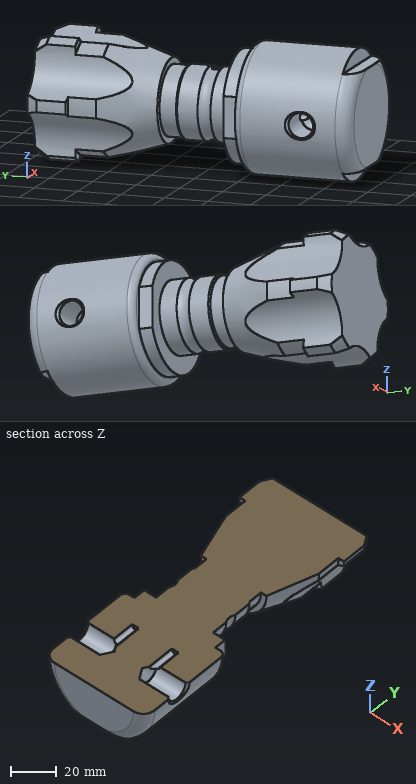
import cadquery as cq
import math

length = 149.4

body_radius = 29.4
body_front_y = 0.0
body_back_y = 53.6
front_fillet = 6.5
back_fillet = 3.1
flat_half_gap = 22.3
flat_length = 6.5

port_y = 22.7
port_diameter = 11.4
port_mouth_diameter = 13.9
port_mouth_angle = 90.0
port_depth = 17.9
drill_tip_angle = 118.0
passage_diameter = 3.5
passage_length = 12.0

nut_radius = 25.4
nut_half_width = 23.6
nut_back_y = 60.0

stem_radius = 16.7
groove_front_y = 68.4
groove_width = 6.0
groove_depth = 0.9
vent_diameter = 4.0
vent_depth = 4.5
stem_back_y = 83.8
stem_chamfer = 0.7

knob_front_y = 92.1
knob_front_radius = 19.1
knob_cone_back_y = 117.7
knob_radius = 27.2
lug_count = 6
lug_radius = 30.5
lug_front_y = 130.5
lug_chamfer_radial = 3.1
lug_chamfer_length = 5.5
flute_radius = 19.0
flute_floor_radius = 22.7


def cylinder(radius, start_y, end_y):
    """Solid cylinder on the Y axis."""
    return cq.Workplane("XZ", origin=(0, start_y, 0)).circle(radius).extrude(start_y - end_y)


def make_body():
    """Round body, stepped down to a flat at the front top and bottom."""
    body = cylinder(body_radius, body_front_y, body_back_y)
    body = body.faces("<Y").edges().fillet(front_fillet)
    body = body.faces(">Y").edges().fillet(back_fillet)
    flat_height = body_radius - flat_half_gap
    for side in (-1, 1):
        step = cq.Workplane("XY").box(2 * body_radius, flat_length, flat_height).translate(
            (0, body_front_y + flat_length / 2, side * (flat_half_gap + flat_height / 2))
        )
        body = body.cut(step)
    return body


def make_nut():
    """Round nut with two wrench flats facing X."""
    nut = cylinder(nut_radius, body_back_y, nut_back_y)
    nut_length = nut_back_y - body_back_y
    envelope = cq.Workplane("XY").box(2 * nut_half_width, nut_length, 2 * nut_radius)
    return nut.intersect(envelope.translate((0, (body_back_y + nut_back_y) / 2, 0)))


def make_stem():
    """Grooved stem with a slightly thinner neck under the knob."""
    groove_back_y = groove_front_y + groove_width
    neck_radius = stem_radius - stem_chamfer
    profile = (
        cq.Workplane("XY")
        .moveTo(0, nut_back_y)
        .lineTo(stem_radius, nut_back_y)
        .lineTo(stem_radius, groove_front_y)
        .threePointArc(
            (stem_radius - groove_depth, groove_front_y + groove_width / 2),
            (stem_radius, groove_back_y),
        )
        .lineTo(stem_radius, stem_back_y)
        .lineTo(neck_radius, stem_back_y + stem_chamfer)
        .lineTo(neck_radius, knob_front_y)
        .lineTo(0, knob_front_y)
        .close()
    )
    return profile.revolve(360, (0, 0, 0), (0, 1, 0))


def make_knob():
    """Conical knob with raised lugs between its finger flutes."""
    profile = (
        cq.Workplane("XY")
        .moveTo(0, knob_front_y)
        .lineTo(knob_front_radius, knob_front_y)
        .lineTo(knob_radius, knob_cone_back_y)
        .lineTo(knob_radius, lug_front_y)
        .lineTo(lug_radius, lug_front_y)
        .lineTo(lug_radius, length - lug_chamfer_length)
        .lineTo(lug_radius - lug_chamfer_radial, length)
        .lineTo(0, length)
        .close()
    )
    knob = profile.revolve(360, (0, 0, 0), (0, 1, 0))
    flutes = (
        cq.Workplane("XZ", origin=(0, knob_front_y, 0))
        .polarArray(flute_floor_radius + flute_radius, 90, 360, lug_count)
        .circle(flute_radius)
        .extrude(knob_front_y - length)
    )
    return knob.cut(flutes)


def make_port(side):
    """Countersunk drilled port on the given X side; a thin passage leads back from its bottom."""
    radius = port_diameter / 2
    mouth_radius = port_mouth_diameter / 2
    mouth_length = (mouth_radius - radius) / math.tan(math.radians(port_mouth_angle / 2))
    tip_length = radius / math.tan(math.radians(drill_tip_angle / 2))
    bottom_x = body_radius - port_depth
    profile = (
        cq.Workplane("XY")
        .moveTo(body_radius, 0)
        .lineTo(body_radius, mouth_radius)
        .lineTo(body_radius - mouth_length, radius)
        .lineTo(bottom_x, radius)
        .lineTo(bottom_x - tip_length, 0)
        .close()
    )
    port = profile.revolve(360, (0, 0, 0), (1, 0, 0))
    passage = cylinder(passage_diameter / 2, 0, port_diameter / 2 + passage_length)
    port = port.union(passage.translate((bottom_x, 0, 0)))
    if side < 0:
        port = port.mirror("YZ")
    return port.translate((0, port_y, 0))


def make_vent():
    """Small radial hole in the top of the stem groove."""
    groove_middle_y = groove_front_y + groove_width / 2
    return (
        cq.Workplane("XY", origin=(0, groove_middle_y, stem_radius - vent_depth))
        .circle(vent_diameter / 2)
        .extrude(vent_depth)
    )


result = make_body().union(make_nut()).union(make_stem()).union(make_knob())
for port_side in (-1, 1):
    result = result.cut(make_port(port_side))
result = result.cut(make_vent())